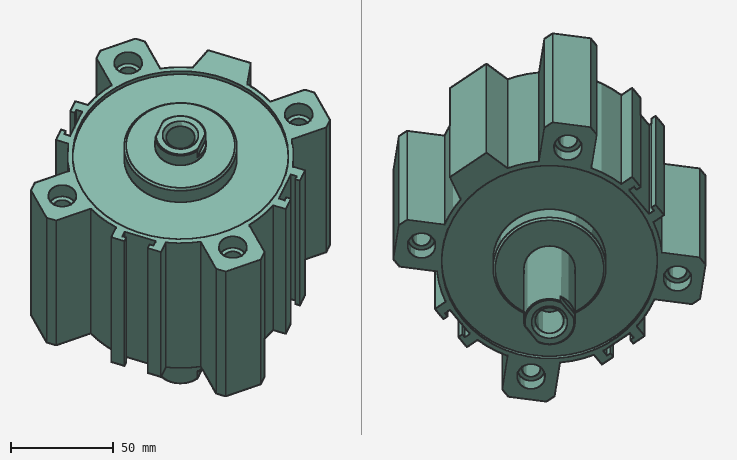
import cadquery as cq
import math

barrel_length = 97.0
barrel_diameter = 110.0
body_width = 120.0
body_half = body_width / 2

cover_diameter = 105.0
cover_recess = 2.5
boss_diameter = 55.0
boss_height = 7.5
boss_chamfer = 1.0

lug_width = 25.8
lug_reach = 75.5
lug_hole_offset = 44.5
lug_hole_diameter = 9.0
counterbore_diameter = 13.5
counterbore_depth = 8.9

rail_width = 26.0
slot_opening = 12.1
slot_cavity_width = 16.2
slot_lip = 2.5
slot_depth = 5.5
rail_directions = (180, 270, 0)

rib_reach = 66.0
rib_tip_width = 22.2
rib_base_width = 28.5

rod_diameter = 25.0
rod_length = 178.0
rod_top_extension = 8.0
rod_chamfer = 0.5
flat_distance = 21.9
flat_length = 5.5
socket_diameter = 13.9
socket_depth = 25.0
socket_chamfer = 1.8

boss_top = barrel_length / 2 + boss_height
rod_top = boss_top + rod_top_extension
rod_middle = rod_top - rod_length / 2


def column(diameter, length):
    """Vertical cylinder centred on the origin."""
    return cq.Workplane("XY").circle(diameter / 2).extrude(length / 2, both=True)


def block(x_size, y_size, x_middle=0):
    """Vertical block as long as the barrel."""
    return cq.Workplane("XY").box(x_size, y_size, barrel_length).translate((x_middle, 0, 0))


def turned(shape, angle):
    """Copy of a shape, turned about the Z axis."""
    return shape.rotate((0, 0, 0), (0, 0, 1), angle)


def make_lugs():
    """Two crossed diagonal bars, with their corners trimmed by the square envelope."""
    bar = block(2 * lug_reach, lug_width)
    cross = turned(bar, 45).union(turned(bar, -45))
    return cross.intersect(block(body_width, body_width))


def make_slot():
    """Cutter for one T-slot facing +X: a narrow opening and a wider cavity behind the lips."""
    opening = block(slot_depth, slot_opening, body_half - slot_depth / 2)
    cavity_depth = slot_depth - slot_lip
    cavity = block(cavity_depth, slot_cavity_width, body_half - slot_depth + cavity_depth / 2)
    return opening.union(cavity)


def make_rib():
    """Tapered rib, with its flanks carried on inward to the middle of the barrel."""
    base_y = math.sqrt((barrel_diameter / 2) ** 2 - (rib_base_width / 2) ** 2)
    flank_slope = (rib_base_width - rib_tip_width) / (rib_reach - base_y) / 2
    root_half = rib_tip_width / 2 + flank_slope * rib_reach
    outline = [
        (-root_half, 0),
        (root_half, 0),
        (rib_tip_width / 2, rib_reach),
        (-rib_tip_width / 2, rib_reach),
    ]
    return cq.Workplane("XY").polyline(outline).close().extrude(barrel_length / 2, both=True)


def make_lug_holes():
    """Cutter for the through holes in the lugs, counterbored from both ends."""
    spacing = 2 * lug_hole_offset
    cutter = cq.Workplane("XY").rect(spacing, spacing, forConstruction=True).vertices()
    cutter = cutter.circle(lug_hole_diameter / 2).extrude(barrel_length / 2, both=True)
    for end in (-1, 1):
        counterbores = (
            cq.Workplane("XY")
            .workplane(offset=end * barrel_length / 2)
            .rect(spacing, spacing, forConstruction=True)
            .vertices()
            .circle(counterbore_diameter / 2)
            .extrude(-end * counterbore_depth)
        )
        cutter = cutter.union(counterbores)
    return cutter


def make_cover_recesses():
    """Cutter for the shallow round recess at each end of the barrel."""
    covers = column(cover_diameter, barrel_length - 2 * cover_recess)
    return column(cover_diameter, barrel_length).cut(covers)


def make_housing():
    housing = column(barrel_diameter, barrel_length).union(make_lugs()).union(make_rib())
    rail = block(body_half, rail_width, body_half / 2)
    slot = make_slot()
    for direction in rail_directions:
        housing = housing.union(turned(rail, direction)).cut(turned(slot, direction))
    housing = housing.cut(make_lug_holes()).cut(make_cover_recesses())
    bosses = column(boss_diameter, 2 * boss_top).faces("<Z or >Z").chamfer(boss_chamfer)
    return housing.union(bosses).cut(column(rod_diameter, 2 * boss_top))


def make_rod():
    """Rod with two wrench flats and a chamfered blind socket at each end."""
    rod = column(rod_diameter, rod_length).faces("<Z or >Z").chamfer(rod_chamfer)
    flat_cut = (rod_diameter - flat_distance) / 2
    socket_radius = socket_diameter / 2
    mouth_radius = socket_radius + socket_chamfer
    socket_outline = [
        (0, rod_length / 2),
        (mouth_radius, rod_length / 2),
        (socket_radius, rod_length / 2 - socket_chamfer),
        (socket_radius, rod_length / 2 - socket_depth),
        (0, rod_length / 2 - socket_depth),
    ]
    socket = cq.Workplane("XZ").polyline(socket_outline).close().revolve(360, (0, 0), (0, 1))
    rod = rod.cut(socket).cut(socket.mirror("XY"))
    for side in (-1, 1):
        for end in (-1, 1):
            flat = cq.Workplane("XY").box(flat_cut, rod_diameter, flat_length)
            flat_x = side * (flat_distance + flat_cut) / 2
            flat_z = end * (rod_length - flat_length) / 2
            rod = rod.cut(flat.translate((flat_x, 0, flat_z)))
    return rod.translate((0, 0, rod_middle))


housing = make_housing()
rod = make_rod()
result = cq.Compound.makeCompound([housing.val(), rod.val()])